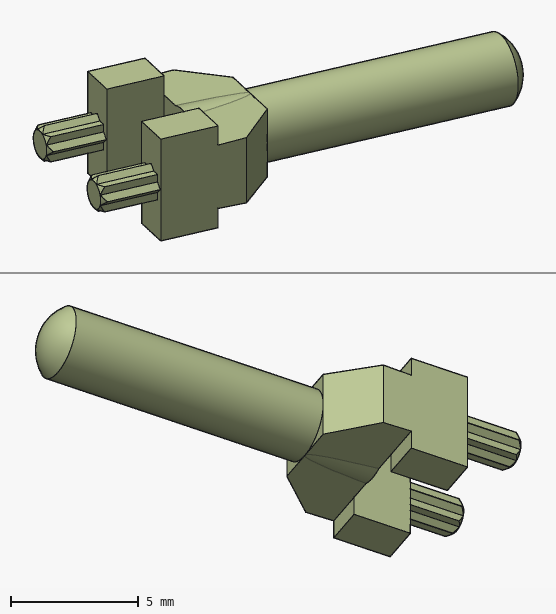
import cadquery as cq
import math

total_length = 19.75
pin_length = 2.5
block_length = 2.5
neck_length = 3.0
dome_height = 0.75
block_start = pin_length
neck_start = block_start + block_length
neck_end = neck_start + neck_length
dome_start = total_length - dome_height

overall_width = 6.4
block_width = 1.68
block_height = 4.5
rod_diameter = 3.0
rod_radius = rod_diameter / 2
neck_thin_height = 2.8
shoulder_length = 1.75
leg_offset = (overall_width - block_width) / 2

pin_diameter = 1.58
pin_radius = pin_diameter / 2
pin_chamfer = 0.2
pin_square_side = pin_diameter / math.sqrt(2)


def make_rod():
    """Round rod with a shallow spherical dome, running on through the neck."""
    dome_radius = (rod_radius**2 + dome_height**2) / (2 * dome_height)
    arc_x = rod_radius / 2
    arc_y = total_length - dome_radius + math.sqrt(dome_radius**2 - arc_x**2)
    profile = (
        cq.Workplane("XY")
        .moveTo(0, neck_start)
        .lineTo(rod_radius, neck_start)
        .lineTo(rod_radius, dome_start)
        .threePointArc((arc_x, arc_y), (0, total_length))
        .close()
    )
    return profile.revolve(360, (0, 0, 0), (0, 1, 0))


def make_neck():
    """Plate with sloping shoulders that gets thinner from the rod to the blocks."""
    half_width = overall_width / 2
    shoulder_y = neck_end - shoulder_length
    outline = (
        cq.Workplane("XY")
        .polyline([
            (-half_width, neck_start),
            (half_width, neck_start),
            (half_width, shoulder_y),
            (rod_radius, neck_end),
            (-rod_radius, neck_end),
            (-half_width, shoulder_y),
        ])
        .close()
        .extrude(rod_radius, both=True)
    )
    taper = (
        cq.Workplane("YZ")
        .polyline([
            (neck_start, -neck_thin_height / 2),
            (neck_end, -rod_radius),
            (neck_end, rod_radius),
            (neck_start, neck_thin_height / 2),
        ])
        .close()
        .extrude(half_width, both=True)
    )
    return outline.intersect(taper)


def make_pin():
    """Two crossed square bars form the star; a turned envelope chamfers its end."""
    bar = cq.Workplane("XY").box(
        pin_square_side, pin_length, pin_square_side, centered=(True, False, True)
    )
    star = bar.union(bar.rotate((0, 0, 0), (0, 1, 0), 45))
    envelope = (
        cq.Workplane("XY")
        .polyline([
            (0, 0),
            (pin_radius - pin_chamfer, 0),
            (pin_radius, pin_chamfer),
            (pin_radius, pin_length),
            (0, pin_length),
        ])
        .close()
        .revolve(360, (0, 0, 0), (0, 1, 0))
    )
    return star.intersect(envelope)


def make_leg():
    """Rectangular block with a pin centred on its free end."""
    block = (
        cq.Workplane("XY")
        .box(block_width, block_length, block_height, centered=(True, False, True))
        .translate((0, block_start, 0))
    )
    return block.union(make_pin())


result = make_rod().union(make_neck())
for side in (-1, 1):
    result = result.union(make_leg().translate((side * leg_offset, 0, 0)))